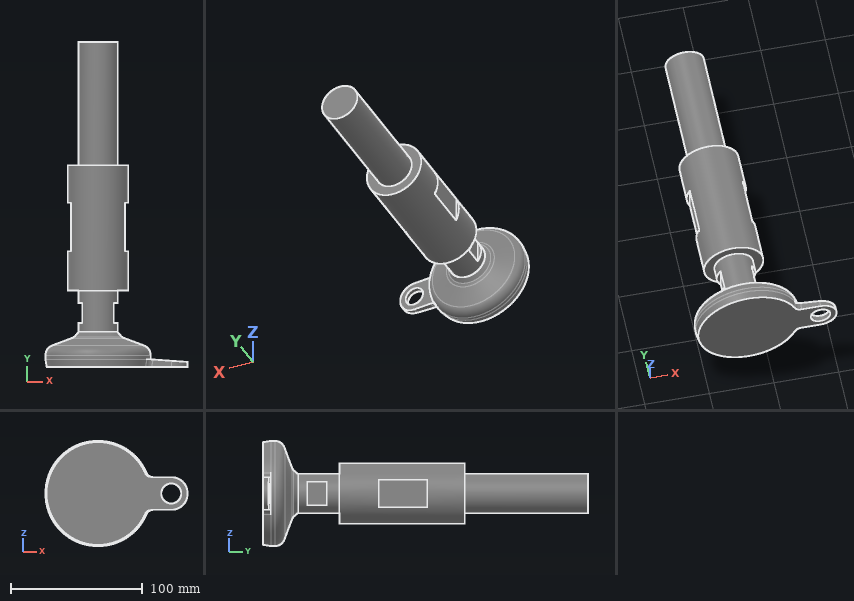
import cadquery as cq
import math

total_length = 246.5

sole_radius = 39.0
foot_radius = 40.0
rim_start = 6.0
rim_end = 9.0
shoulder_radius = 8.0
slope_angle = math.radians(20.5)
blend_start_radius = 20.2
neck_base_radius = 17.8
neck_base_height = 23.2
neck_top_radius = 14.8
foot_height = 26.7

lug_reach = 68.0
lug_width = 25.0
lug_tip_thickness = 4.0
lug_hole_diameter = 15.0
lug_fillet = 5.0

spindle_radius = 15.0
spindle_across_flats = 24.0
spindle_flat_length = 15.0
spindle_flat_start = 33.5

sleeve_radius = 23.0
sleeve_start = 58.0
sleeve_length = 95.0
sleeve_across_flats = 41.0
sleeve_flat_length = 36.5
sleeve_flat_start = 88.0


def disc(radius, start, length):
    """Round bar along +Y."""
    return cq.Workplane("XZ", origin=(0, start, 0)).circle(radius).extrude(-length)


def cut_wrench_flats(body, radius, across_flats, start, length):
    """Cut two opposite flats, facing -X and +X, into a round bar."""
    depth = radius - across_flats / 2
    for side in (-1, 1):
        center = (side * (across_flats + depth) / 2, start + length / 2, 0)
        cutter = cq.Workplane("XY").box(depth, length, 2 * radius).translate(center)
        body = body.cut(cutter)
    return body


def make_plate():
    """Turned foot plate: tapered rim, rounded shoulder, dished top and short neck."""
    shoulder_center_radius = foot_radius - shoulder_radius

    def shoulder_point(angle):
        return (
            shoulder_center_radius + shoulder_radius * math.sin(angle),
            rim_end + shoulder_radius * math.cos(angle),
        )

    shoulder_top = shoulder_point(slope_angle)
    shoulder_middle = shoulder_point((slope_angle + math.pi / 2) / 2)
    slope_rise = (shoulder_top[0] - blend_start_radius) * math.tan(slope_angle)
    profile = (
        cq.Workplane("XY")
        .lineTo(sole_radius, 0)
        .lineTo(foot_radius, rim_start)
        .lineTo(foot_radius, rim_end)
        .threePointArc(shoulder_middle, shoulder_top)
        .lineTo(blend_start_radius, shoulder_top[1] + slope_rise)
        .tangentArcPoint((neck_base_radius, neck_base_height), relative=False)
        .lineTo(neck_top_radius, foot_height)
        .lineTo(0, foot_height)
        .close()
    )
    return profile.revolve(360, (0, 0, 0), (0, 1, 0))


def make_rim_with_lug():
    """Tapered rim with the lug blended into it; the lug thins from the rim to its round tip."""
    end_radius = lug_width / 2
    end_x = lug_reach - end_radius
    rim = (
        cq.Workplane("XY")
        .lineTo(sole_radius, 0)
        .lineTo(foot_radius, rim_start)
        .lineTo(0, rim_start)
        .close()
        .revolve(360, (0, 0, 0), (0, 1, 0))
    )
    bar = cq.Workplane("XZ").center(end_x / 2, 0).rect(end_x, lug_width).extrude(-rim_start)
    body = rim.union(bar)
    corners = cq.selectors.BoxSelector(
        (sole_radius - end_radius, rim_start / 4, -lug_width),
        (foot_radius, 3 * rim_start / 4, lug_width),
    )
    body = body.edges(corners).fillet(lug_fillet)
    body = body.union(disc(end_radius, 0, rim_start).translate((end_x, 0, 0)))
    side_profile = (
        cq.Workplane("XY")
        .moveTo(foot_radius, rim_start)
        .lineTo(lug_reach, rim_start)
        .lineTo(lug_reach, lug_tip_thickness)
        .close()
    )
    body = body.cut(side_profile.extrude(lug_width, both=True))
    hole = disc(lug_hole_diameter / 2, 0, rim_start).translate((end_x, 0, 0))
    return body.cut(hole)


def make_foot():
    """Foot plate, lug and wrench-flatted spindle as one solid."""
    spindle = disc(spindle_radius, foot_height, total_length - foot_height)
    spindle = cut_wrench_flats(
        spindle, spindle_radius, spindle_across_flats, spindle_flat_start, spindle_flat_length
    )
    return make_rim_with_lug().union(make_plate()).union(spindle)


def make_sleeve():
    """Plain sleeve bored to fit the spindle, with two wrench flats."""
    sleeve = disc(sleeve_radius, sleeve_start, sleeve_length)
    sleeve = cut_wrench_flats(
        sleeve, sleeve_radius, sleeve_across_flats, sleeve_flat_start, sleeve_flat_length
    )
    return sleeve.cut(disc(spindle_radius, sleeve_start, sleeve_length))


foot = make_foot()
sleeve = make_sleeve()
result = cq.Compound.makeCompound([foot.val(), sleeve.val()])